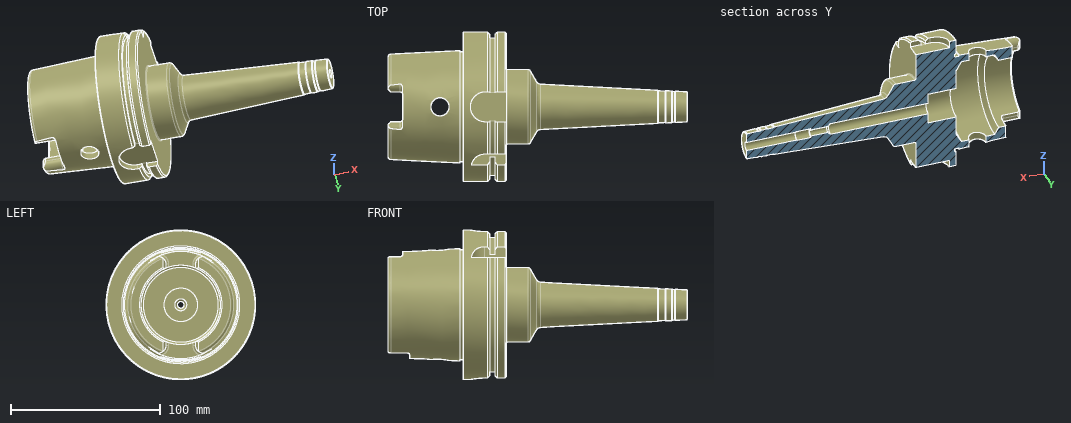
import cadquery as cq
import math

TAPER_LENGTH = 50.0
TOTAL_LENGTH = 200.0
TIP_X = TOTAL_LENGTH - TAPER_LENGTH

TAPER_LARGE_R = 75.42 / 2
TAPER_SLOPE = 1 / 20
MOUTH_FILLET = 2.0

RELIEF_LENGTH = 2.0
RELIEF_R = 36.8
RELIEF_FACE_DEPTH = 0.9
RELIEF_FACE_FLOOR_R = 38.4
RELIEF_FACE_R = 39.4

FLANGE_R = 100.0 / 2
FLANGE_LENGTH = 29.0
FLANGE_FRONT_CHAMFER = 0.5
FLANGE_BACK_CHAMFER = 1.0
GROOVE_FLOOR_R = 46.0
GROOVE_START = 18.1
GROOVE_END = 21.3
GROOVE_CHAMFER = 1.7

HUB_R = 50.0 / 2
HUB_END = 44.5
HUB_CONE_ANGLE = 60.0
HUB_RIM_FILLET = 2.0
HUB_ROOT_FILLET = 3.0
HUB_BASE_FILLET = 0.6
TIP_R = 10.1
NOSE_ANGLE = 3.0
TIP_CHAMFER = 0.5
RING_GROOVES = [(130.1, 135.6), (139.4, 142.0)]
RING_GROOVE_DEPTH = 0.3
RING_GROOVE_WALL = 0.6

MOUTH_BORE_R = 53.0 / 2
MOUTH_BORE_CHAMFER = 1.0
CLAMP_BORE_R = 63.0 / 2
CLAMP_SHOULDER_X = -30.3
CLAMP_SHOULDER_ANGLE = 60.0
FLOOR_R = 50.0 / 2
CLAMP_FLOOR_X = 0.0
CLAMP_FLOOR_ANGLE = 60.0
THREAD_R = 22.38 / 2
THREAD_DEPTH = 20.0
COOLANT_R = 8.0 / 2
COOLANT_END = 90.0
SCREW_R = 4.3 / 2
RELIEF_BORE_R = 6.6 / 2
RELIEF_BORE_DEPTH = 46.0
TOOL_R = 6.0 / 2
TOOL_DEPTH = 36.0
CROSS_HOLE_R = 12.0 / 2
CROSS_HOLE_X = -15.25

KEYWAY_HALF_WIDTH = 9.85
KEYWAY_TOP_DEPTH = 9.8
KEYWAY_BOTTOM_DEPTH = 14.5
KEYWAY_FLARE_R = 5.0
KEYWAY_FLARE_START = 27.2
KEYWAY_FLOOR_FILLET = 1.7
KEYWAY_MOUTH_CHAMFER = 1.9

SLOT_R = 20.0 / 2
SLOT_CENTER_X = 15.0
SLOT_FLOOR = 45.0
CORNER_NOTCH_OFFSET = 31.6
CORNER_NOTCH_R = 9.0
CORNER_NOTCH_CENTER_X = 14.5

CLEAR = 20.0


def taper_radius(x):
    return TAPER_LARGE_R + TAPER_SLOPE * x


def nose_radius(x):
    return TIP_R + (TIP_X - x) * math.tan(math.radians(NOSE_ANGLE))


def revolve(points):
    return cq.Workplane("XY").polyline(points).close().revolve(360, (0, 0, 0), (1, 0, 0))


def fillet_circle(body, x, radius, fillet_radius):
    """Round the circular edge of the given radius centred on the X axis at x."""
    tolerance = 0.1
    reach = radius + tolerance
    around_edge = cq.selectors.BoxSelector(
        (x - tolerance, -reach, -reach),
        (x + tolerance, reach, reach),
        boundingbox=True,
    )
    return body.edges("%CIRCLE").edges(around_edge).fillet(fillet_radius)


def shank_and_flange():
    groove_rim_r = FLANGE_R - GROOVE_CHAMFER
    body = revolve([
        (-TAPER_LENGTH, 0),
        (-TAPER_LENGTH, taper_radius(-TAPER_LENGTH)),
        (-RELIEF_LENGTH, taper_radius(-RELIEF_LENGTH)),
        (-RELIEF_LENGTH, RELIEF_R),
        (RELIEF_FACE_DEPTH, RELIEF_R),
        (RELIEF_FACE_DEPTH, RELIEF_FACE_FLOOR_R),
        (0, RELIEF_FACE_R),
        (0, FLANGE_R - FLANGE_FRONT_CHAMFER),
        (FLANGE_FRONT_CHAMFER, FLANGE_R),
        (GROOVE_START - GROOVE_CHAMFER, FLANGE_R),
        (GROOVE_START, groove_rim_r),
        (GROOVE_START, GROOVE_FLOOR_R),
        (GROOVE_END, GROOVE_FLOOR_R),
        (GROOVE_END, groove_rim_r),
        (GROOVE_END + GROOVE_CHAMFER, FLANGE_R),
        (FLANGE_LENGTH - FLANGE_BACK_CHAMFER, FLANGE_R),
        (FLANGE_LENGTH, FLANGE_R - FLANGE_BACK_CHAMFER),
        (FLANGE_LENGTH, 0),
    ])
    return body.faces("<X").edges().fillet(MOUTH_FILLET)


def hub_and_nose():
    hub_slope = math.tan(math.radians(HUB_CONE_ANGLE))
    nose_slope = math.tan(math.radians(NOSE_ANGLE))
    cone_end = HUB_END + (HUB_R - nose_radius(HUB_END)) / (hub_slope - nose_slope)
    body = revolve([
        (FLANGE_LENGTH, 0),
        (FLANGE_LENGTH, HUB_R),
        (HUB_END, HUB_R),
        (cone_end, nose_radius(cone_end)),
        (TIP_X - TIP_CHAMFER, nose_radius(TIP_X - TIP_CHAMFER)),
        (TIP_X, TIP_R - TIP_CHAMFER),
        (TIP_X, 0),
    ])
    body = fillet_circle(body, HUB_END, HUB_R, HUB_RIM_FILLET)
    body = fillet_circle(body, cone_end, nose_radius(cone_end), HUB_ROOT_FILLET)
    for start, end in RING_GROOVES:
        floor_start = start + RING_GROOVE_WALL
        floor_end = end - RING_GROOVE_WALL
        body = body.cut(revolve([
            (start, nose_radius(start)),
            (floor_start, nose_radius(floor_start) - RING_GROOVE_DEPTH),
            (floor_end, nose_radius(floor_end) - RING_GROOVE_DEPTH),
            (end, nose_radius(end)),
            (end, HUB_R),
            (start, HUB_R),
        ]))
    return body


def axial_bores():
    shoulder_length = (CLAMP_BORE_R - MOUTH_BORE_R) / math.tan(math.radians(CLAMP_SHOULDER_ANGLE))
    floor_length = (CLAMP_BORE_R - FLOOR_R) / math.tan(math.radians(CLAMP_FLOOR_ANGLE))
    thread_end = CLAMP_FLOOR_X + THREAD_DEPTH
    relief_start = TIP_X - RELIEF_BORE_DEPTH
    tool_start = TIP_X - TOOL_DEPTH
    return revolve([
        (-TAPER_LENGTH, 0),
        (-TAPER_LENGTH, MOUTH_BORE_R + MOUTH_BORE_CHAMFER),
        (-TAPER_LENGTH + MOUTH_BORE_CHAMFER, MOUTH_BORE_R),
        (CLAMP_SHOULDER_X, MOUTH_BORE_R),
        (CLAMP_SHOULDER_X + shoulder_length, CLAMP_BORE_R),
        (CLAMP_FLOOR_X - floor_length, CLAMP_BORE_R),
        (CLAMP_FLOOR_X, FLOOR_R),
        (CLAMP_FLOOR_X, THREAD_R),
        (thread_end, THREAD_R),
        (thread_end, COOLANT_R),
        (COOLANT_END, COOLANT_R),
        (COOLANT_END + COOLANT_R - SCREW_R, SCREW_R),
        (relief_start, SCREW_R),
        (relief_start, RELIEF_BORE_R),
        (tool_start, RELIEF_BORE_R),
        (tool_start, TOOL_R),
        (TIP_X, TOOL_R),
        (TIP_X, 0),
    ])


def cross_hole():
    return (
        cq.Workplane("XY")
        .center(CROSS_HOLE_X, 0)
        .circle(CROSS_HOLE_R)
        .extrude(FLANGE_R, both=True)
    )


def keyway(depth):
    """Keyway cutter on the +Z side, with flared outer edges and a chamfered mouth."""
    half = KEYWAY_HALF_WIDTH
    flare_y = half + KEYWAY_FLARE_R
    flare_top = KEYWAY_FLARE_START + KEYWAY_FLARE_R
    mid = KEYWAY_FLARE_R * math.sqrt(0.5)
    mid_y = flare_y - mid
    mid_z = KEYWAY_FLARE_START + mid
    top = flare_top + CLEAR
    outer_y = flare_y + CLEAR
    cutter = (
        cq.Workplane("YZ", origin=(-TAPER_LENGTH, 0, 0))
        .moveTo(-half, 0)
        .lineTo(-half, KEYWAY_FLARE_START)
        .threePointArc((-mid_y, mid_z), (-flare_y, flare_top))
        .lineTo(-outer_y, flare_top)
        .lineTo(-outer_y, top)
        .lineTo(outer_y, top)
        .lineTo(outer_y, flare_top)
        .lineTo(flare_y, flare_top)
        .threePointArc((mid_y, mid_z), (half, KEYWAY_FLARE_START))
        .lineTo(half, 0)
        .close()
        .extrude(depth)
    )
    for y in (-half, half):
        cutter = cutter.edges(cq.selectors.NearestToPointSelector(
            (depth - TAPER_LENGTH, y, KEYWAY_FLARE_START / 2))).fillet(KEYWAY_FLOOR_FILLET)
    mouth_half = half + KEYWAY_MOUTH_CHAMFER
    mouth = (
        cq.Workplane("XY")
        .polyline([
            (-TAPER_LENGTH, -mouth_half),
            (-TAPER_LENGTH + KEYWAY_MOUTH_CHAMFER, -half),
            (-TAPER_LENGTH + KEYWAY_MOUTH_CHAMFER, half),
            (-TAPER_LENGTH, mouth_half),
        ])
        .close()
        .extrude(top)
    )
    return cutter.union(mouth)


def flange_slot():
    """Round-ended slot cutter on the +Z side, open at the back of the flange."""
    length = FLANGE_LENGTH - SLOT_CENTER_X
    slot = cq.Workplane("XY", origin=(SLOT_CENTER_X, 0, SLOT_FLOOR))
    end = slot.circle(SLOT_R).extrude(CLEAR)
    run = slot.center(length / 2, 0).rect(length, 2 * SLOT_R).extrude(CLEAR)
    return end.union(run)


def corner_notch():
    """Single notch at the -Y +Z diagonal with one flat floor and one flat wall."""
    outer_y = -CORNER_NOTCH_OFFSET - CORNER_NOTCH_R
    mid = CORNER_NOTCH_R * math.sqrt(0.5)
    return (
        cq.Workplane("XY", origin=(0, 0, CORNER_NOTCH_OFFSET))
        .moveTo(FLANGE_LENGTH, -CORNER_NOTCH_OFFSET)
        .lineTo(CORNER_NOTCH_CENTER_X, -CORNER_NOTCH_OFFSET)
        .threePointArc(
            (CORNER_NOTCH_CENTER_X - mid, outer_y + mid),
            (CORNER_NOTCH_CENTER_X - CORNER_NOTCH_R, outer_y),
        )
        .lineTo(FLANGE_LENGTH, outer_y)
        .close()
        .extrude(CLEAR)
    )


def to_bottom(shape):
    return shape.mirror("XY")


result = shank_and_flange().union(hub_and_nose())
result = fillet_circle(result, FLANGE_LENGTH, HUB_R, HUB_BASE_FILLET)
result = result.cut(axial_bores()).cut(cross_hole())
result = result.cut(keyway(KEYWAY_TOP_DEPTH))
result = result.cut(to_bottom(keyway(KEYWAY_BOTTOM_DEPTH)))
result = result.cut(flange_slot()).cut(to_bottom(flange_slot()))
result = result.cut(corner_notch())